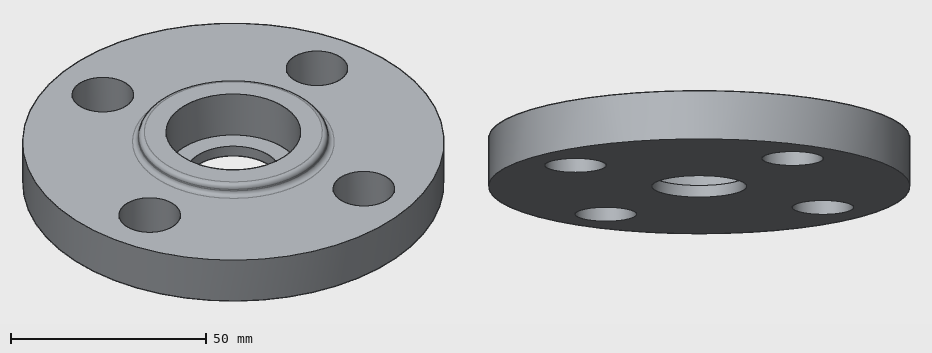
import cadquery as cq
import math


flange_diameter = 107.95
plate_thickness = 12.7

hub_height = 3.05
hub_base_diameter = 49.0
hub_draft_angle = 7.0
hub_blend_radius = 1.5

bore_diameter = 24.3
socket_diameter = 34.5
socket_depth = 12.7

bolt_circle_diameter = 79.375
bolt_hole_diameter = 15.75
bolt_hole_count = 4

total_height = plate_thickness + hub_height
hub_base_radius = hub_base_diameter / 2
hub_top_radius = hub_base_radius - hub_height * math.tan(math.radians(hub_draft_angle))


def make_body():
    """Plate and conical hub, revolved as one solid and blended at the hub's foot and rim."""
    flange_radius = flange_diameter / 2
    body = (
        cq.Workplane("XZ")
        .lineTo(flange_radius, 0)
        .lineTo(flange_radius, plate_thickness)
        .lineTo(hub_base_radius, plate_thickness)
        .lineTo(hub_top_radius, total_height)
        .lineTo(0, total_height)
        .close()
        .revolve(360, (0, 0), (0, 1))
    )
    hub_rim = cq.selectors.RadiusNthSelector(0)
    hub_foot = cq.selectors.RadiusNthSelector(1)
    hub_edges = body.edges(hub_rim).add(body.edges(hub_foot))
    return hub_edges.fillet(hub_blend_radius)


def cut_stepped_bore(body):
    """Through bore with a wider pipe socket sunk from the hub's top face."""
    bore = cq.Workplane("XY").circle(bore_diameter / 2).extrude(total_height)
    socket = (
        cq.Workplane("XY")
        .workplane(offset=total_height - socket_depth)
        .circle(socket_diameter / 2)
        .extrude(socket_depth)
    )
    return body.cut(bore).cut(socket)


def cut_bolt_holes(body):
    """Equally spaced bolt holes through the plate, the first one on +X."""
    holes = (
        cq.Workplane("XY")
        .polarArray(bolt_circle_diameter / 2, 0, 360, bolt_hole_count)
        .circle(bolt_hole_diameter / 2)
        .extrude(plate_thickness)
    )
    return body.cut(holes)


result = cut_bolt_holes(cut_stepped_bore(make_body()))